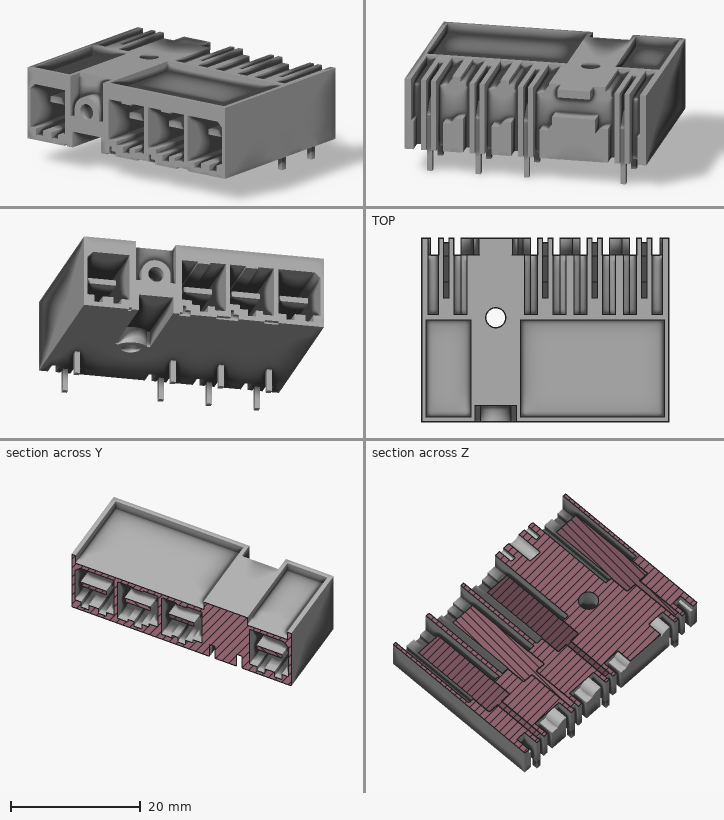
import cadquery as cq
import math

LENGTH = 38.1
DEPTH = 28.3
HEIGHT = 11.35

PITCH = 7.62
POLES = [0.5 * PITCH, 2.5 * PITCH, 3.5 * PITCH, 4.5 * PITCH]
FLANGE_X = 1.5 * PITCH
DIVIDERS = [PITCH, 2 * PITCH, 3 * PITCH, 4 * PITCH]

SOCKET_END = 15.7
SOCKET_TOP = 8.9
END_SOCKET_HALF = 3.43
END_SOCKET_WALL = 0.57
END_SOCKET_CHAMFER = 0.88
INNER_SOCKET_HALF = 3.45
KEY_RIB_HALF = 0.95
KEY_RIB_DROP = 0.25
GROOVE_FLOOR = 0.72
LAND_FLOOR = 1.7
END_OUTER_FLOOR = 1.83
END_INNER_FLOOR = 1.55
END_LAND_HALF = 0.85
END_GROOVE_WIDTH = 1.3
INNER_LEFT_FLOOR = 2.4
INNER_RIGHT_FLOOR = 1.15
INNER_LAND_LEFT = 1.9
INNER_LAND_RIGHT = 1.7
INNER_GROOVE_HALF = 0.65

POCKET_FRONT = 0.72
POCKET_DEPTH = 1.6
POCKET_SIDE_WALL = 0.72

RECESS_HALF = 3.15
RECESS_DEPTH = 2.5
RECESS_FLOOR = 4.95
BOSS_RADIUS = 2.32
BOSS_Z = 6.17
BOSS_HOLE_RADIUS = 1.22
BOSS_HOLE_DEPTH = 4.57
SCREW_Y = 16.05
SCREW_HOLE_RADIUS = 1.52
SCREW_COLUMN_RADIUS = 2.65
UNDERCUT_HALF = 2.75
UNDERCUT_HEIGHT = 2.55
UNDERCUT_END = SCREW_Y - SCREW_COLUMN_RADIUS / 2

COMB_START = 16.57
COMB_FLOOR_END = 25.68
RIB_OUTER = 1.2
DIVIDER_HALF = 0.65
END_WALL = 1.0
DOME_RADIUS = 1.8
DOME_HALF = 1.55
DOME_RISE = DOME_RADIUS - math.sqrt(DOME_RADIUS**2 - DOME_HALF**2)
COMB_FLOOR = HEIGHT - POCKET_DEPTH

END_FOOT = 1.4
FOOT_TOP = 4.57
FOOT_CREST_SHIFT = 1.2
FLANGE_FOOT_HALF = 3.4
FLANGE_FOOT_TOP = 6.85
TAB_HALF = 2.55
TAB_THICKNESS = 1.3

RELIEF_DEPTH = 0.75
RELIEF_LOW = 0.25
RELIEF_MIDDLE = 0.72
RELIEF_HIGH = 1.4
RELIEF_LEFT = 1.75
RELIEF_RIGHT = 0.5
RELIEF_SLOT_END = 1.0
RELIEF_STEP_END = 1.75

PIN_THICKNESS = 0.8
PIN_SETBACK = 0.7
PIN_BACK = DEPTH - PIN_SETBACK
PIN_FRONT = 19.1
LEG_WIDTH = 1.0
LEG_LENGTH = 3.55
PLATE_TOP = 7.62
PLATE_STEP_Y = 21.53
PLATE_CHAMFER = 2.1
BLADE_HALF = 2.2
BLADE_BOTTOM = 5.22
BLADE_TOP = 6.1
BLADE_TIP = 3.8


def block(x0, x1, y0, y1, z0, z1):
    """Box between two opposite corners."""
    return cq.Workplane("XY").box(x1 - x0, y1 - y0, z1 - z0, centered=False).translate((x0, y0, z0))


def prism_y(points, y0, y1):
    """XZ outline extruded along Y from y0 to y1."""
    return cq.Workplane("XZ", origin=(0, y0, 0)).polyline(points).close().extrude(y0 - y1)


def cylinder_y(x, z, radius, y0, y1):
    return cq.Workplane("XZ", origin=(x, y0, z)).circle(radius).extrude(y0 - y1)


def cylinder_z(x, y, radius, z0, z1):
    return cq.Workplane("XY", origin=(x, y, z0)).circle(radius).extrude(z1 - z0)



def end_socket():
    """Socket of the leftmost pole, with one chamfered upper corner."""
    x = POLES[0]
    left = END_SOCKET_WALL
    right = x + END_SOCKET_HALF
    groove = END_LAND_HALF + END_GROOVE_WIDTH
    outline = [
        (left, END_OUTER_FLOOR),
        (x - groove, END_OUTER_FLOOR),
        (x - groove, GROOVE_FLOOR),
        (x - END_LAND_HALF, GROOVE_FLOOR),
        (x - END_LAND_HALF, LAND_FLOOR),
        (x + END_LAND_HALF, LAND_FLOOR),
        (x + END_LAND_HALF, GROOVE_FLOOR),
        (x + groove, GROOVE_FLOOR),
        (x + groove, END_INNER_FLOOR),
        (right, END_INNER_FLOOR),
        (right, SOCKET_TOP),
        (left + END_SOCKET_CHAMFER, SOCKET_TOP),
        (left, SOCKET_TOP - END_SOCKET_CHAMFER),
    ]
    return prism_y(outline, 0, SOCKET_END)


def inner_socket(x):
    """Socket of an inner pole, with a key rib in its ceiling and a stepped floor."""
    left = x - INNER_SOCKET_HALF
    right = x + INNER_SOCKET_HALF
    outline = [
        (left, INNER_LEFT_FLOOR),
        (x - INNER_LAND_LEFT, INNER_LEFT_FLOOR),
        (x - INNER_LAND_LEFT, LAND_FLOOR),
        (x - INNER_GROOVE_HALF, LAND_FLOOR),
        (x - INNER_GROOVE_HALF, GROOVE_FLOOR),
        (x + INNER_GROOVE_HALF, GROOVE_FLOOR),
        (x + INNER_GROOVE_HALF, LAND_FLOOR),
        (x + INNER_LAND_RIGHT, LAND_FLOOR),
        (x + INNER_LAND_RIGHT, INNER_RIGHT_FLOOR),
        (right, INNER_RIGHT_FLOOR),
        (right, SOCKET_TOP),
        (x + KEY_RIB_HALF, SOCKET_TOP),
        (x + KEY_RIB_HALF, SOCKET_TOP - KEY_RIB_DROP),
        (x - KEY_RIB_HALF, SOCKET_TOP - KEY_RIB_DROP),
        (x - KEY_RIB_HALF, SOCKET_TOP),
        (left, SOCKET_TOP),
    ]
    return prism_y(outline, 0, SOCKET_END)


def cut_sockets(body):
    left_socket = end_socket()
    right_socket = left_socket.mirror("YZ", (LENGTH / 2, 0, 0))
    body = body.cut(left_socket).cut(right_socket)
    for x in POLES[1:-1]:
        body = body.cut(inner_socket(x))
    return body



def cut_top_pockets(body):
    spans = [(POCKET_SIDE_WALL, PITCH), (2 * PITCH, LENGTH - POCKET_SIDE_WALL)]
    for x0, x1 in spans:
        body = body.cut(block(x0, x1, POCKET_FRONT, SOCKET_END, HEIGHT - POCKET_DEPTH, HEIGHT))
    return body



def shape_flange(body):
    recess = block(FLANGE_X - RECESS_HALF, FLANGE_X + RECESS_HALF, 0, RECESS_DEPTH, RECESS_FLOOR, HEIGHT)
    boss = block(FLANGE_X - BOSS_RADIUS, FLANGE_X + BOSS_RADIUS, 0, RECESS_DEPTH, RECESS_FLOOR, BOSS_Z)
    boss = boss.union(cylinder_y(FLANGE_X, BOSS_Z, BOSS_RADIUS, 0, RECESS_DEPTH))
    body = body.cut(recess.cut(boss))
    body = body.cut(cylinder_y(FLANGE_X, BOSS_Z, BOSS_HOLE_RADIUS, 0, BOSS_HOLE_DEPTH))

    undercut = block(FLANGE_X - UNDERCUT_HALF, FLANGE_X + UNDERCUT_HALF, 0, UNDERCUT_END, 0, UNDERCUT_HEIGHT)
    undercut = undercut.cut(cylinder_z(FLANGE_X, SCREW_Y, SCREW_COLUMN_RADIUS, 0, UNDERCUT_HEIGHT))
    body = body.cut(undercut)
    return body.cut(cylinder_z(FLANGE_X, SCREW_Y, SCREW_HOLE_RADIUS, 0, HEIGHT))



def dome(x, base, y0, y1):
    """Ridge along Y with a round crest, standing on the given base height."""
    crest = cylinder_y(x, base + DOME_RISE - DOME_RADIUS, DOME_RADIUS, y0, y1)
    return crest.intersect(block(x - DOME_HALF, x + DOME_HALF, y0, y1, base, base + DOME_RISE))


def comb_space():
    """Space above the comb floor and the feet, between the walls, ribs and dividers."""
    space = block(END_WALL, LENGTH - END_WALL, COMB_START, COMB_FLOOR_END, COMB_FLOOR, HEIGHT)
    space = space.union(block(END_WALL, LENGTH - END_WALL, COMB_FLOOR_END, DEPTH, 0, HEIGHT))

    for x in DIVIDERS:
        space = space.cut(dome(x, COMB_FLOOR, COMB_START, COMB_FLOOR_END))
        space = space.cut(
            block(x - DIVIDER_HALF, x + DIVIDER_HALF, COMB_START, COMB_FLOOR_END, COMB_FLOOR, HEIGHT)
        )
    slab_left = DIVIDERS[0] - DIVIDER_HALF
    slab_right = DIVIDERS[1] + DIVIDER_HALF
    space = space.cut(block(slab_left, slab_right, COMB_START, COMB_FLOOR_END, COMB_FLOOR, HEIGHT))
    tab_bottom = HEIGHT - TAB_THICKNESS
    tab = block(FLANGE_X - TAB_HALF, FLANGE_X + TAB_HALF, COMB_FLOOR_END, DEPTH, tab_bottom, HEIGHT)
    space = space.cut(tab)

    for x in POLES:
        space = space.cut(block(x - RIB_OUTER, x + RIB_OUTER, COMB_START, DEPTH, 0, HEIGHT))
    return space.cut(feet())


def feet():
    """Low feet behind the comb floor, with an off-centre crest on each divider foot."""
    y0, y1 = COMB_FLOOR_END, DEPTH
    parts = block(0, END_FOOT, y0, y1, 0, FOOT_TOP)
    parts = parts.union(block(LENGTH - END_FOOT, LENGTH, y0, y1, 0, FOOT_TOP))
    for x in DIVIDERS:
        foot_span = block(x - DOME_HALF, x + DOME_HALF, y0, y1, 0, HEIGHT)
        crest = dome(x - FOOT_CREST_SHIFT, FOOT_TOP, y0, y1).intersect(foot_span)
        parts = parts.union(block(x - DOME_HALF, x + DOME_HALF, y0, y1, 0, FOOT_TOP)).union(crest)
    flange_foot = block(FLANGE_X - FLANGE_FOOT_HALF, FLANGE_X + FLANGE_FOOT_HALF, y0, y1, 0, FLANGE_FOOT_TOP)
    return parts.union(flange_foot)


def cut_pin_slots(body):
    """Openings that each pin's plate and blade fill exactly."""
    half = PIN_THICKNESS / 2
    for x in POLES:
        body = body.cut(block(x - half, x + half, PIN_FRONT, DEPTH, 0, HEIGHT))
        body = body.cut(blade(x))
    return body



def front_relief(x0, x1, z):
    return block(x0, x1, 0, RELIEF_DEPTH, 0, z)


def cut_front_reliefs(body):
    body = body.cut(front_relief(DIVIDERS[0] - RELIEF_RIGHT, DIVIDERS[0], RELIEF_LOW))
    for x in DIVIDERS[1:3]:
        body = body.cut(front_relief(x, x + RELIEF_RIGHT, RELIEF_LOW))
        body = body.cut(front_relief(x + RELIEF_RIGHT, x + RELIEF_SLOT_END, RELIEF_HIGH))
        body = body.cut(front_relief(x + RELIEF_SLOT_END, x + RELIEF_STEP_END, RELIEF_MIDDLE))
    body = body.cut(front_relief(DIVIDERS[2] - RELIEF_LEFT, DIVIDERS[2], RELIEF_LOW))
    return body.cut(front_relief(DIVIDERS[3] - RELIEF_LEFT, DIVIDERS[3] + RELIEF_RIGHT, RELIEF_LOW))



def make_housing():
    body = block(0, LENGTH, 0, DEPTH, 0, HEIGHT)
    body = cut_sockets(body)
    body = cut_top_pockets(body)
    body = shape_flange(body)
    body = body.cut(comb_space())
    body = cut_front_reliefs(body)
    return cut_pin_slots(body)


def blade(x):
    """Flat blade from inside the socket to the front of the pin plate."""
    return block(x - BLADE_HALF, x + BLADE_HALF, BLADE_TIP, PIN_FRONT, BLADE_BOTTOM, BLADE_TOP)


def make_pin(x):
    """Upright plate with two solder legs and a blade."""
    profile = [
        (PIN_FRONT, -LEG_LENGTH),
        (PIN_FRONT + LEG_WIDTH, -LEG_LENGTH),
        (PIN_FRONT + LEG_WIDTH, 0),
        (PIN_BACK - LEG_WIDTH, 0),
        (PIN_BACK - LEG_WIDTH, -LEG_LENGTH),
        (PIN_BACK, -LEG_LENGTH),
        (PIN_BACK, PLATE_TOP - PLATE_CHAMFER),
        (PIN_BACK - PLATE_CHAMFER, PLATE_TOP),
        (PLATE_STEP_Y, PLATE_TOP),
        (PLATE_STEP_Y, BLADE_TOP),
        (PIN_FRONT, BLADE_TOP),
    ]
    plate = cq.Workplane("YZ", origin=(x - PIN_THICKNESS / 2, 0, 0)).polyline(profile).close()
    return plate.extrude(PIN_THICKNESS).union(blade(x))


housing = make_housing()
pins = [make_pin(x) for x in POLES]

result = cq.Compound.makeCompound([housing.solids().val(), *[pin.solids().val() for pin in pins]])